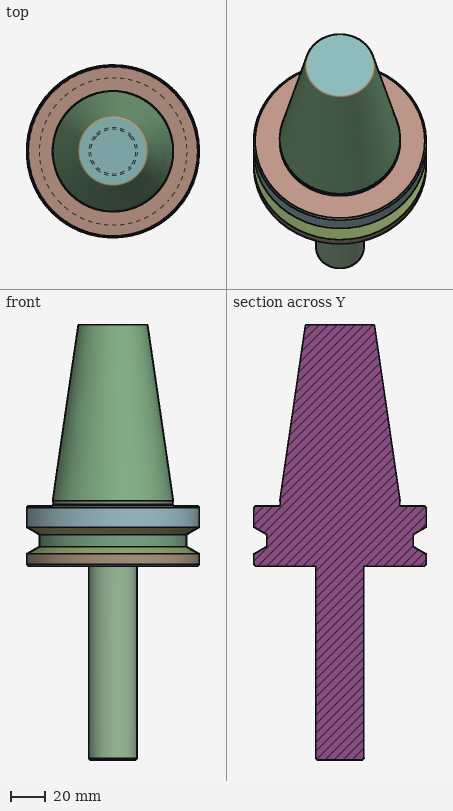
import cadquery as cq
import math

gauge_diameter = 69.85
taper_ratio = 7 / 24
taper_length = 101.8
taper_end_fillet = 1.0

neck_length = 3.0
neck_diameter = 69.4
neck_base_diameter = 70.0
neck_cone_length = 0.8

flange_diameter = 100.0
flange_thickness = 35.0
flange_top_chamfer = 1.0
flange_bottom_chamfer = 1.2
groove_centre = -23.1
groove_floor_diameter = 85.3
groove_floor_width = 7.0
groove_wall_angle = 30.0

shank_diameter = 28.0
shank_length = 112.0
shank_chamfer = 1.0

gauge_radius = gauge_diameter / 2
taper_end_radius = (gauge_diameter - taper_length * taper_ratio) / 2
neck_radius = neck_diameter / 2
neck_base_radius = neck_base_diameter / 2
flange_radius = flange_diameter / 2
flange_top = -neck_length
flange_bottom = flange_top - flange_thickness
groove_floor_radius = groove_floor_diameter / 2
groove_depth = flange_radius - groove_floor_radius
groove_wall_height = groove_depth * math.tan(math.radians(groove_wall_angle))
groove_floor_top = groove_centre + groove_floor_width / 2
groove_floor_bottom = groove_centre - groove_floor_width / 2


def revolve_profile(profile):
    """Solid of revolution about Z from (radius, height) points."""
    half_section = cq.Workplane("XZ").polyline(profile).close()
    return half_section.revolve(360, (0, 0, 0), (0, 1, 0))


def make_taper():
    """Taper cone with a rounded small end, standing on the relief neck."""
    profile = [
        (0, flange_top),
        (neck_base_radius, flange_top),
        (neck_radius, flange_top + neck_cone_length),
        (neck_radius, -neck_cone_length),
        (gauge_radius, 0),
        (taper_end_radius, taper_length),
        (0, taper_length),
    ]
    return revolve_profile(profile).faces(">Z").edges().fillet(taper_end_fillet)


def make_flange():
    """Flange disc with chamfered rims and the gripper groove around it."""
    profile = [
        (0, flange_bottom),
        (flange_radius - flange_bottom_chamfer, flange_bottom),
        (flange_radius, flange_bottom + flange_bottom_chamfer),
        (flange_radius, groove_floor_bottom - groove_wall_height),
        (groove_floor_radius, groove_floor_bottom),
        (groove_floor_radius, groove_floor_top),
        (flange_radius, groove_floor_top + groove_wall_height),
        (flange_radius, flange_top - flange_top_chamfer),
        (flange_radius - flange_top_chamfer, flange_top),
        (0, flange_top),
    ]
    return revolve_profile(profile)


def make_shank():
    """Cylindrical shank below the flange, chamfered at its free end."""
    shank = cq.Workplane("XY").workplane(offset=flange_bottom - shank_length)
    shank = shank.circle(shank_diameter / 2).extrude(shank_length)
    return shank.faces("<Z").edges().chamfer(shank_chamfer)


result = make_flange().union(make_taper()).union(make_shank())